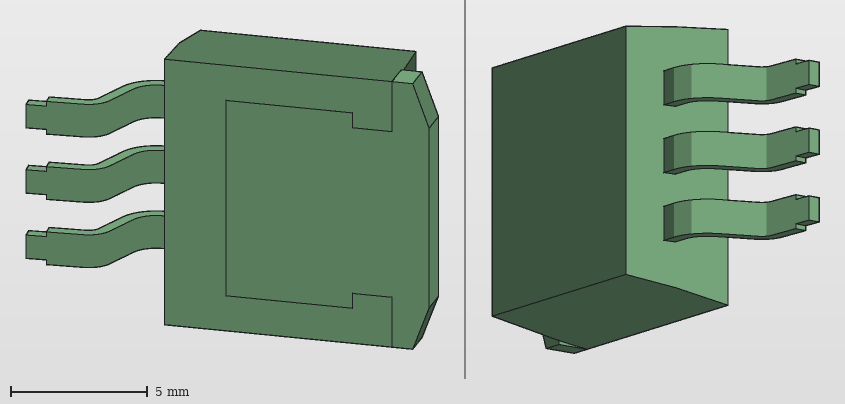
import cadquery as cq
import math


overall_length = 15.24
overall_height = 10.36
housing_depth = 4.6
housing_mount_left = 5.2
housing_parting_left = 5.06
housing_back_left = 5.27
housing_mount_right = 13.82
housing_back_right = 13.45
housing_back_height = 9.33

tab_thickness = 1.28
tab_left = 7.53
tab_pad_height = 7.62
tab_notch_left = 12.33
tab_neck_height = 6.46
tab_bevel_left = 14.62
tab_end_height = 7.01

lead_count = 3
lead_pitch = 2.55
lead_width = 1.28
lead_thickness = 0.49
lead_back_y = 2.99
lead_embedded_end = 6.05
upper_bend_x = 4.47
upper_bend_radius = 1.26
riser_length = 1.48
lower_bend_radius = 0.7
riser_angle = math.radians(70)
foot_angle = math.radians(3.5)
tip_width = 0.91
tip_length = 0.76

lead_center_y = lead_back_y - lead_thickness / 2
parting_y = lead_back_y - lead_thickness


def step(point, distance, angle):
    """Point reached by moving toward -X and down by the given slope angle."""
    return (point[0] - distance * math.cos(angle), point[1] - distance * math.sin(angle))


def bend_point(center, radius, angle):
    """Point on a bend arc where the lead slopes down toward -X at the given angle."""
    return (center[0] - radius * math.sin(angle), center[1] + radius * math.cos(angle))


def make_tab():
    """Flat plate with a wide beveled end, a narrow neck and a pad under the housing."""
    upper_outline = [
        (tab_left, tab_pad_height / 2),
        (tab_notch_left, tab_pad_height / 2),
        (tab_notch_left, tab_neck_height / 2),
        (housing_mount_right, tab_neck_height / 2),
        (housing_mount_right, overall_height / 2),
        (tab_bevel_left, overall_height / 2),
        (overall_length, tab_end_height / 2),
    ]
    lower_outline = [(x, -z) for x, z in reversed(upper_outline)]
    return cq.Workplane("XZ").polyline(upper_outline + lower_outline).close().extrude(-tab_thickness)


def sweep_strip(path, start, width):
    """Strip of lead thickness swept along a path that starts parallel to X."""
    section = cq.Workplane("YZ", origin=(start[0], start[1], 0)).rect(lead_thickness, width)
    return section.sweep(path)


def make_lead():
    """S-bent lead with a narrower tip, centered on Z = 0."""
    start = (lead_embedded_end, lead_center_y)
    upper_start = (upper_bend_x, lead_center_y)
    upper_center = (upper_bend_x, lead_center_y - upper_bend_radius)
    upper_middle = bend_point(upper_center, upper_bend_radius, riser_angle / 2)
    upper_end = bend_point(upper_center, upper_bend_radius, riser_angle)
    lower_start = step(upper_end, riser_length, riser_angle)

    lower_center = bend_point(lower_start, lower_bend_radius, riser_angle)
    lower_middle_angle = (riser_angle + foot_angle) / 2
    lower_middle = bend_point(lower_center, -lower_bend_radius, lower_middle_angle)
    lower_end = bend_point(lower_center, -lower_bend_radius, foot_angle)

    tip_end_x = lead_thickness / 2 * math.sin(foot_angle)
    foot_length = (lower_end[0] - tip_end_x) / math.cos(foot_angle)
    shoulder = step(lower_end, foot_length - tip_length, foot_angle)

    path = (
        cq.Workplane("XY")
        .moveTo(*start)
        .lineTo(*upper_start)
        .threePointArc(upper_middle, upper_end)
        .lineTo(*lower_start)
        .threePointArc(lower_middle, lower_end)
        .lineTo(*shoulder)
    )
    strip = sweep_strip(path, start, lead_width)

    tip_center = step(shoulder, tip_length / 2, foot_angle)
    tip = (
        cq.Workplane("XY")
        .box(tip_length, lead_thickness, tip_width)
        .rotate((0, 0, 0), (0, 0, 1), math.degrees(foot_angle))
        .translate((tip_center[0], tip_center[1], 0))
    )
    return strip.union(tip).solids()


def make_leads():
    """Equally spaced leads, each a separate solid."""
    middle_index = (lead_count - 1) / 2
    lead = make_lead()
    return [lead.translate((0, 0, (i - middle_index) * lead_pitch)) for i in range(lead_count)]


def make_housing(tab, leads):
    """Drafted block with recesses that fit the tab and the lead roots."""
    side_outline = [
        (housing_mount_left, 0),
        (housing_parting_left, parting_y),
        (housing_back_left, housing_depth),
        (housing_back_right, housing_depth),
        (housing_mount_right, tab_thickness),
        (housing_mount_right, 0),
    ]
    block = cq.Workplane("XY").polyline(side_outline).close().extrude(overall_height / 2, both=True)
    end_outline = [
        (0, -overall_height / 2),
        (housing_depth, -housing_back_height / 2),
        (housing_depth, housing_back_height / 2),
        (0, overall_height / 2),
    ]
    draft = cq.Workplane("YZ").polyline(end_outline).close().extrude(overall_length)
    housing = block.intersect(draft).cut(tab)
    for lead in leads:
        housing = housing.cut(lead)
    return housing.solids()


tab = make_tab()
leads = make_leads()
housing = make_housing(tab, leads)

result = cq.Compound.makeCompound([housing.val(), tab.val(), *[lead.val() for lead in leads]])